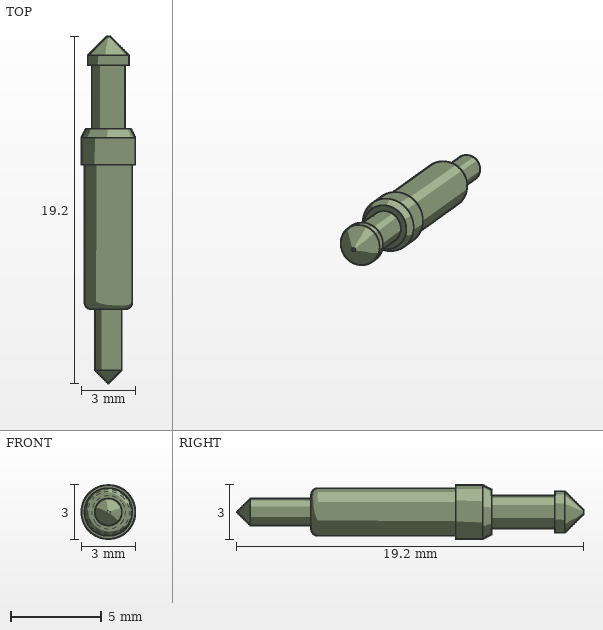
import cadquery as cq


collar_diameter = 3.0
collar_length = 2.0
collar_chamfer_length = 0.5
collar_chamfer_width = 0.25
barrel_diameter = 2.65
body_length = 10.0
barrel_end_fillet = 0.4

plunger_length = 5.1
shaft_diameter = 1.85
head_diameter = 2.3
head_rim_length = 0.55
head_tip_diameter = 0.2

tail_length = 4.1
tail_diameter = 1.5


def turned(*sections):
    """Revolve straight-sided sections, listed as (radius, y), about the Y axis."""
    start_y = sections[0][1]
    end_y = sections[-1][1]
    profile = cq.Workplane("XY").polyline([(0, start_y), *sections, (0, end_y)]).close()
    return profile.revolve(360, (0, 0, 0), (0, 1, 0))


def make_body():
    """Barrel with a rounded end, and a collar chamfered at the top."""
    collar_radius = collar_diameter / 2
    barrel_radius = barrel_diameter / 2
    body = turned(
        (barrel_radius, -body_length),
        (barrel_radius, -collar_length),
        (collar_radius, -collar_length),
        (collar_radius, -collar_chamfer_length),
        (collar_radius - collar_chamfer_width, 0),
    )
    return body.faces("<Y").edges().fillet(barrel_end_fillet)


def make_plunger():
    """Shaft carrying a wider head with a 90 degree cone and a small flat tip."""
    shaft_radius = shaft_diameter / 2
    head_radius = head_diameter / 2
    tip_radius = head_tip_diameter / 2
    cone_base_y = plunger_length - (head_radius - tip_radius)
    head_base_y = cone_base_y - head_rim_length
    return turned(
        (shaft_radius, 0),
        (shaft_radius, head_base_y),
        (head_radius, head_base_y),
        (head_radius, cone_base_y),
        (tip_radius, plunger_length),
    )


def make_tail():
    """Tail pin ending in a sharp 90 degree point."""
    tail_radius = tail_diameter / 2
    point_y = -body_length - tail_length
    pin = cq.Workplane("XY").moveTo(0, -body_length)
    pin = pin.lineTo(tail_radius, -body_length)
    pin = pin.lineTo(tail_radius, point_y + tail_radius)
    pin = pin.lineTo(0, point_y).close()
    return pin.revolve(360, (0, 0, 0), (0, 1, 0))


result = make_body().union(make_plunger()).union(make_tail())